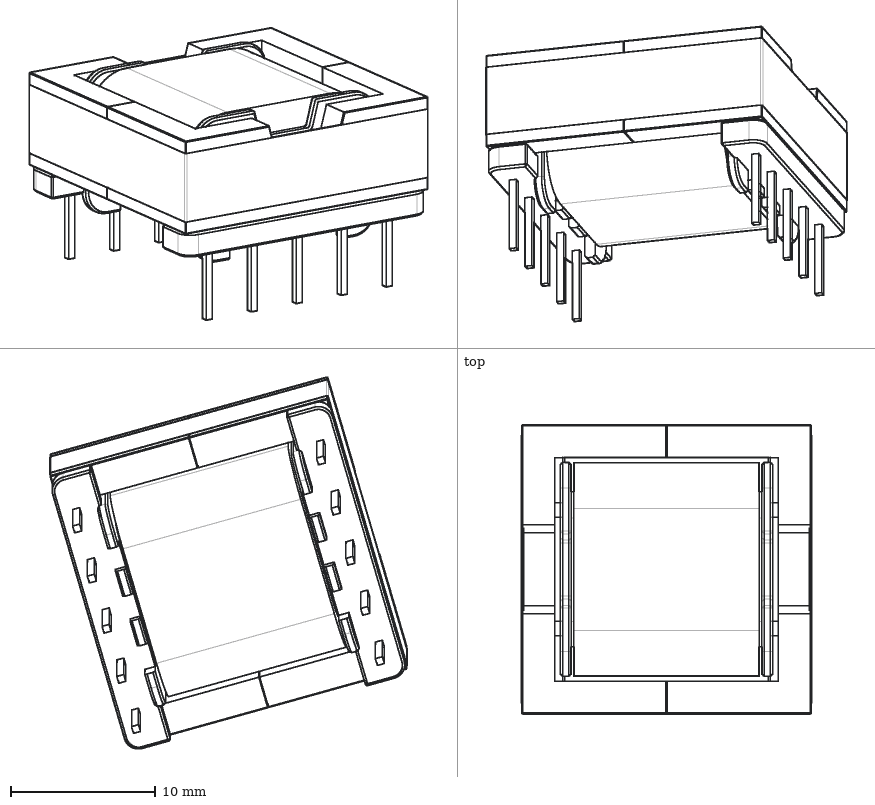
import cadquery as cq


core_size = 20.05
core_bottom = 1.78
core_height = 6.73
core_top = core_bottom + core_height
window_size = 15.51
half_gap = 0.06
core_edge_chamfer = 0.06

core_notch_floor = 6.46
core_notch_top_width = 6.18
core_notch_floor_width = 5.05

tape_size = 20.1
tape_thickness = 0.12
tape_corner_radius = 0.12
tape_width = 4.97
tape_bottom = core_bottom + (core_height - tape_width) / 2

coil_center_z = 3.98
leg_width = 9.25
leg_height = 3.84
leg_chamfer = 1.0
tube_wall = 0.77
tube_width = leg_width + 2 * tube_wall
tube_height = leg_height + 2 * tube_wall
tube_corner_radius = 1.8

winding_length = 12.85
winding_width = 14.83
winding_height = 9.62
winding_corner_radius = 3.17

flange_inner_x = 6.63
flange_thickness = 0.75
flange_outer_x = flange_inner_x + flange_thickness
flange_width = 14.87
flange_top = 8.83
flange_bottom = -1.62
flange_corner_radius = 1.75
flange_rim_chamfer = 0.16

flange_notch_floor = 6.87
flange_notch_top_width = 5.05
flange_notch_floor_width = 4.0
flange_notch_fillet = 0.2

outlet_width = 9.3
tab_width = 1.85
tab_center_y = 1.84
tab_bottom = -0.73
tab_chamfer = 0.15

base_length_x = 20.2
base_width_y = 20.1
bar_inner_x = 7.05
bar_width = base_length_x / 2 - bar_inner_x
bar_center_x = bar_inner_x + bar_width / 2
bar_corner_radius = 1.0
bar_inner_chamfer = 0.1
bar_rim_chamfer = 0.16
pin_count = 5
pin_pitch = 3.72
pin_thickness = 0.5
pin_x = 8.8
pin_length = 5.07

SIDES = (-1, 1)


def block(size_x, size_y, bottom, top):
    """A block centred on the Z axis, from height `bottom` to `top`."""
    return cq.Workplane("XY").workplane(offset=bottom).rect(size_x, size_y).extrude(top - bottom)


def coil_section(length):
    """A workplane across the coil axis from which an extrusion of `length` is centred on X = 0."""
    return cq.Workplane("YZ", origin=(-length / 2, 0, coil_center_z))


def sloped_notch(length, top_width, floor_width, floor_z, top_z):
    """A trapezoidal prism along X that cuts a notch with sloping sides."""
    return (
        cq.Workplane("YZ", origin=(-length / 2, 0, 0))
        .moveTo(-floor_width / 2, floor_z)
        .lineTo(floor_width / 2, floor_z)
        .lineTo(top_width / 2, top_z)
        .lineTo(-top_width / 2, top_z)
        .close()
        .extrude(length)
    )


def center_leg(length):
    """The chamfered bar through the coil, also used to cut the bore of the former."""
    return (
        coil_section(length)
        .rect(leg_width, leg_height)
        .extrude(length)
        .edges("|X")
        .chamfer(leg_chamfer)
    )


def make_core():
    frame = block(core_size, core_size, core_bottom, core_top)
    window = block(window_size, window_size, core_bottom, core_top)
    notch = sloped_notch(
        core_size, core_notch_top_width, core_notch_floor_width, core_notch_floor, core_top
    )
    gap = block(half_gap, core_size, core_bottom, core_top)
    shell = frame.cut(notch).faces("<X or >X or <Y or >Y").chamfer(core_edge_chamfer)
    halves = shell.cut(window).union(center_leg(window_size)).cut(gap)

    tape_top = tape_bottom + tape_width
    tape_inner_size = tape_size - 2 * tape_thickness
    tape = (
        block(tape_size, tape_size, tape_bottom, tape_top)
        .edges("|Z")
        .fillet(tape_corner_radius)
        .cut(block(tape_inner_size, tape_inner_size, tape_bottom, tape_top))
    )
    return halves.union(tape)


def rounded_bar(length, width, height, corner_radius):
    """A bar along the coil axis with rounded long edges."""
    return (
        coil_section(length)
        .rect(width, height)
        .extrude(length)
        .edges("|X")
        .fillet(corner_radius)
    )


def make_tube():
    return rounded_bar(2 * flange_inner_x, tube_width, tube_height, tube_corner_radius)


def make_winding():
    return rounded_bar(winding_length, winding_width, winding_height, winding_corner_radius)


def make_flange(side):
    center_x = side * (flange_inner_x + flange_thickness / 2)
    notch = sloped_notch(
        flange_thickness,
        flange_notch_top_width,
        flange_notch_floor_width,
        flange_notch_floor,
        flange_top,
    )
    notch_edges = cq.selectors.BoxSelector(
        (-flange_thickness, -flange_notch_top_width, 0),
        (flange_thickness, flange_notch_top_width, 2 * flange_top),
    )
    plate = (
        block(flange_thickness, flange_width, flange_bottom, flange_top)
        .edges("|X")
        .fillet(flange_corner_radius)
        .cut(notch)
        .edges("|X")
        .edges(notch_edges)
        .fillet(flange_notch_fillet)
        .faces("<X or >X")
        .chamfer(flange_rim_chamfer)
        .cut(block(flange_thickness, outlet_width, flange_bottom, 0))
    )
    tab = (
        block(flange_thickness, tab_width, tab_bottom, 0)
        .faces("<Z")
        .edges("|Y")
        .chamfer(tab_chamfer)
    )
    for tab_side in SIDES:
        plate = plate.union(tab.translate((0, tab_side * tab_center_y, 0)))
    return plate.translate((center_x, 0, 0))


def make_base_bar(side):
    outer = ">X" if side > 0 else "<X"
    inner = "<X" if side > 0 else ">X"
    return (
        block(bar_width, base_width_y, 0, core_bottom)
        .edges("|Z and " + outer)
        .fillet(bar_corner_radius)
        .edges("|Z and " + inner)
        .chamfer(bar_inner_chamfer)
        .faces("<Z or >Z")
        .chamfer(bar_rim_chamfer)
        .translate((side * bar_center_x, 0, 0))
    )


def make_pins(side):
    return (
        cq.Workplane("XY")
        .center(side * pin_x, 0)
        .rarray(0.2, pin_pitch, 1, pin_count)
        .rect(pin_thickness, pin_thickness)
        .extrude(-pin_length)
    )


def make_coil_former():
    former = make_tube().union(make_winding())
    for side in SIDES:
        for piece in (make_flange(side), make_base_bar(side), make_pins(side)):
            former = former.union(piece)
    return former.cut(center_leg(2 * flange_outer_x))


core = make_core()
coil_former = make_coil_former()

result = cq.Compound.makeCompound([core.val(), coil_former.val()])